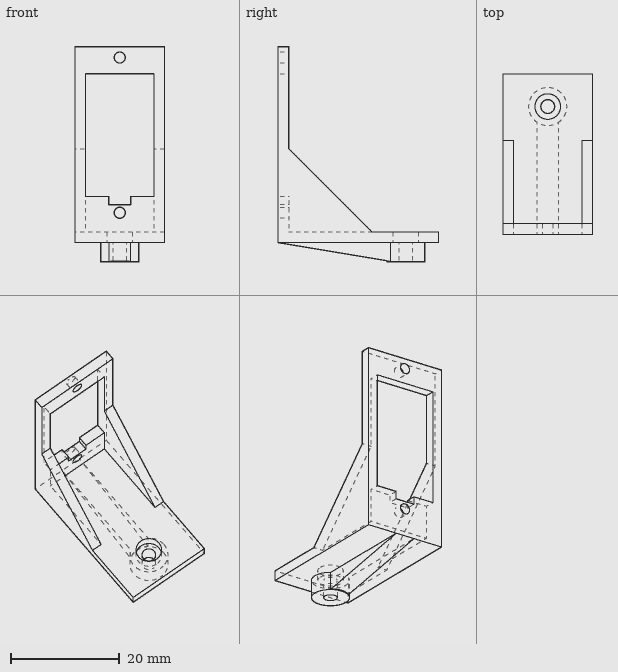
import cadquery as cq


width = 16.5
depth = 29.5
height = 36.0
wall = 2.0

window_width = 12.5
window_bottom = 8.5
window_top = 31.0
cable_notch_width = 4.0
cable_notch_depth = 1.5
screw_hole_diameter = 2.0
screw_hole_heights = (5.5, 34.0)

gusset_leg = 15.25

boss_diameter = 7.0
boss_height = 3.5
pivot_y = 23.5
pivot_hole_diameter = 2.5
counterbore_diameter = 4.7
counterbore_depth = 2.0

rib_width = 4.0
rib_length = 21.0


def base_plate():
    return cq.Workplane("XY").box(width, depth, wall, centered=(True, False, False))


def upright_plate():
    return cq.Workplane("XY").box(width, wall, height, centered=(True, False, False))


def gusset(side):
    """Sloped side wall; side is -1 for the -X edge and +1 for the +X edge."""
    tip = wall + gusset_leg
    outline = [
        (0, 0),
        (tip, 0),
        (tip, wall),
        (wall, tip),
        (0, tip),
    ]
    center_x = side * (width - wall) / 2
    return (
        cq.Workplane("YZ", origin=(center_x, 0, 0))
        .polyline(outline)
        .close()
        .extrude(wall / 2, both=True)
    )


def pivot_boss():
    return (
        cq.Workplane("XY", origin=(0, pivot_y, -boss_height))
        .circle(boss_diameter / 2)
        .extrude(boss_height)
    )


def tapered_rib():
    """Rib deepening from nothing at the front face to the boss height, its deep end inside the boss."""
    outline = [(0, 0), (rib_length, -boss_height), (rib_length, 0)]
    return (
        cq.Workplane("YZ")
        .polyline(outline)
        .close()
        .extrude(rib_width / 2, both=True)
    )


def servo_window():
    """Rectangular opening with a cable notch in its lower edge."""
    window_height = window_top - window_bottom
    window = (
        cq.Workplane("XY", origin=(0, 0, window_bottom))
        .box(window_width, wall, window_height, centered=(True, False, False))
    )
    notch_bottom = window_bottom - cable_notch_depth
    notch = (
        cq.Workplane("XY", origin=(0, 0, notch_bottom))
        .box(cable_notch_width, wall, cable_notch_depth, centered=(True, False, False))
    )
    return window.union(notch)


def screw_holes():
    centers = [(0, z) for z in screw_hole_heights]
    return (
        cq.Workplane("XZ")
        .pushPoints(centers)
        .circle(screw_hole_diameter / 2)
        .extrude(-wall)
    )


def pivot_hole():
    through = (
        cq.Workplane("XY", origin=(0, pivot_y, -boss_height))
        .circle(pivot_hole_diameter / 2)
        .extrude(boss_height + wall)
    )
    counterbore = (
        cq.Workplane("XY", origin=(0, pivot_y, wall - counterbore_depth))
        .circle(counterbore_diameter / 2)
        .extrude(counterbore_depth)
    )
    return through.union(counterbore)


bracket = base_plate().union(upright_plate())
for side in (-1, 1):
    bracket = bracket.union(gusset(side))
bracket = bracket.union(tapered_rib()).union(pivot_boss())

result = bracket.cut(servo_window()).cut(screw_holes()).cut(pivot_hole())